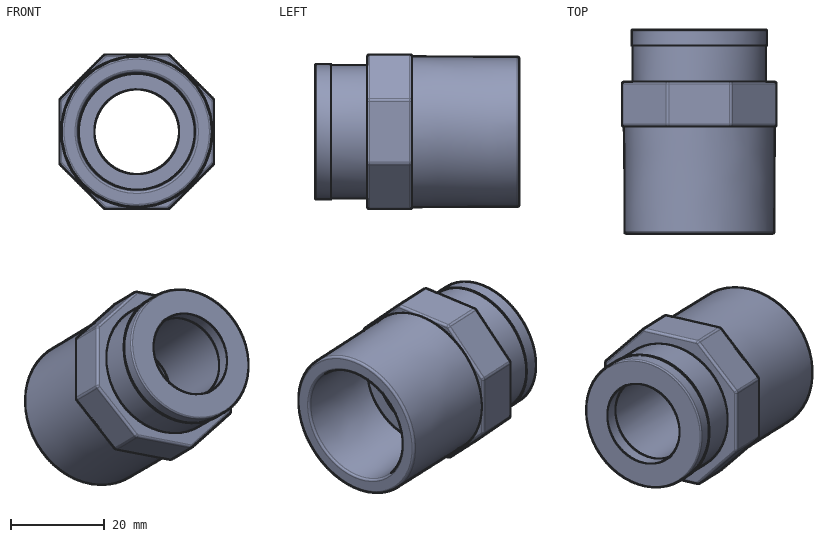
import cadquery as cq
import math

total_length = 43.45

collar_diameter = 28.85
collar_length = 3.35
collar_rim_radius = 0.3

neck_diameter = 28.5
neck_length = 7.75

octagon_sides = 8
octagon_across_flats = 33.0
octagon_length = 9.55
octagon_corner_radius = 0.83
octagon_rim_radius = 0.5

barrel_base_diameter = 32.2
barrel_mouth_diameter = 32.0
barrel_rim_radius = 0.5

socket_mouth_diameter = 25.35
socket_floor_diameter = 24.7
socket_depth = 19.12
socket_lip_radius = 0.48
bore_diameter = 18.0

collar_start = total_length - collar_length
neck_start = collar_start - neck_length
octagon_start = neck_start - octagon_length


def cylinder(diameter, start, length):
    """Cylinder on the Y axis running from start toward +Y."""
    circle = cq.Workplane("XZ", origin=(0, start, 0)).circle(diameter / 2)
    return circle.extrude(-length)


def tapered_plug(mouth_diameter, inner_diameter, depth):
    """Cone frustum on the Y axis running from the socket mouth to the given depth."""
    half_section = [
        (0, 0),
        (mouth_diameter / 2, 0),
        (inner_diameter / 2, depth),
        (0, depth),
    ]
    return cq.Workplane("XY").polyline(half_section).close().revolve(360, (0, 0, 0), (0, 1, 0))


def make_octagon_grip():
    """Octagonal prism with flats facing X and Z and every outer edge rounded."""
    across_corners = octagon_across_flats / math.cos(math.pi / octagon_sides)
    prism = (
        cq.Workplane("XZ", origin=(0, octagon_start, 0))
        .transformed(rotate=(0, 0, 180 / octagon_sides))
        .polygon(octagon_sides, across_corners)
        .extrude(-octagon_length)
    )
    rounded_corners = prism.edges("|Y").fillet(octagon_corner_radius)
    return rounded_corners.faces("<Y or >Y").edges().fillet(octagon_rim_radius)


def make_barrel():
    """Barrel with a rounded front rim, reaching into the octagonal grip."""
    front = tapered_plug(barrel_mouth_diameter, barrel_base_diameter, octagon_start)
    front = front.faces("<Y").edges().fillet(barrel_rim_radius)
    root = cylinder(barrel_base_diameter, octagon_start, octagon_length / 2)
    return front.union(root)


def make_fitting():
    """Socket barrel, octagonal grip and neck in one piece, bored through."""
    neck = cylinder(neck_diameter, neck_start, neck_length)
    fitting = make_barrel().union(make_octagon_grip()).union(neck)
    fitting = fitting.cut(cylinder(bore_diameter, 0, total_length))
    fitting = fitting.cut(tapered_plug(socket_mouth_diameter, socket_floor_diameter, socket_depth))
    socket_lip = fitting.faces("<Y").edges(cq.selectors.RadiusNthSelector(0))
    return socket_lip.fillet(socket_lip_radius)


def make_collar():
    """Ring butted against the neck end, with its outer end rim rounded."""
    ring = cylinder(collar_diameter, collar_start, collar_length)
    ring = ring.faces(">Y").edges().fillet(collar_rim_radius)
    return ring.cut(cylinder(bore_diameter, collar_start, collar_length))


fitting = make_fitting()
collar = make_collar()

result = cq.Compound.makeCompound([fitting.solids().val(), collar.solids().val()])